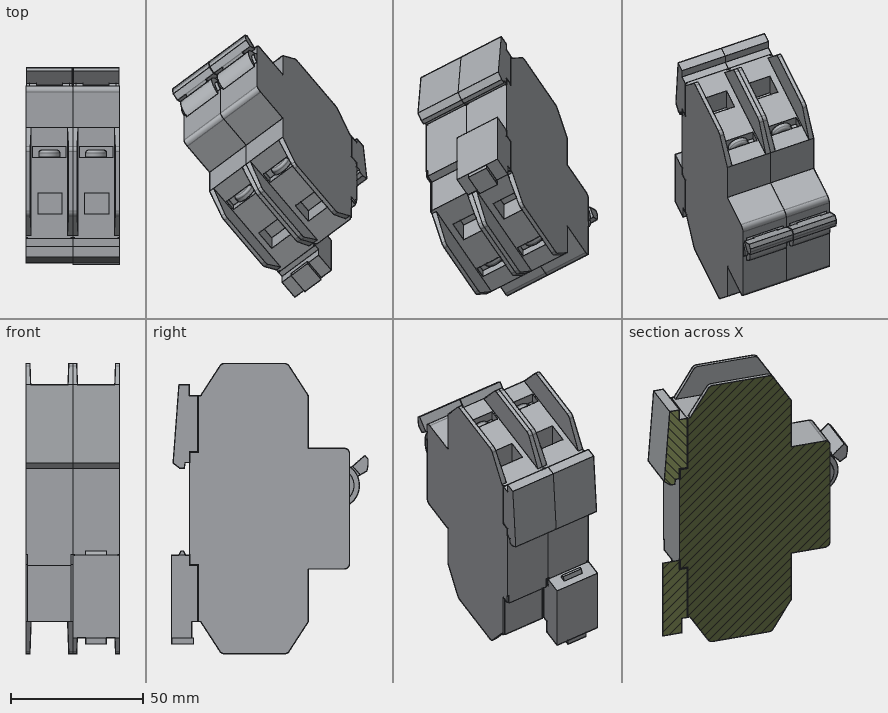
import cadquery as cq


pole_width = 17.7
total_height = 110.0
shoulder_z = 42.8
shoulder_y = 45.1
front_z = 22.9
front_y = 60.7
front_fillet = 2.1

seat_y = 3.1
seat_step_z = 21.6
seat_end_z = 17.4
rim_gap = 0.3
rim_width = 0.7

barrier_base_y = (4.3, shoulder_y)
barrier_tip_y = (12.2, 37.2)
barrier_base_thickness = 2.0
barrier_tip_thickness = 1.5
barrier_fillet = 2.2

wire_hole_x = 4.5
wire_hole_width = 9.1
wire_hole_y = 12.3
wire_hole_length = 7.9
wire_hole_depth = 11.0
screw_pocket_width = 12.6
screw_pocket_y = 33.7
screw_pocket_length = 4.2
screw_pocket_depth = 4.4
screw_radius = 4.0
screw_length = 2.5
screw_wall_gap = 0.3
screw_fillet = 1.1

hub_y = 55.9
hub_z = 8.8
hub_radius = 8.6
hub_step_radius = 6.5
hub_step_width = 1.3
toggle_inset = 0.1
neck_inset = 4.0
bar_top = (66.4, 20.1)
bar_tip_points = [(67.8, 18.7), (67.8, 16.7), (67.3, 14.3)]
bar_root_low = (64.8, 12.8)
bar_root_high = (61.8, 16.1)
neck_foot_y = 59.4

clip_top_z = 47.0
clip_top_y = -4.0
clip_belly = (-6.2, 17.3)
clip_lip_z = 15.3
clip_lip_y = (-3.6, -1.9)
clip_hook_y = -1.5

foot_rear_y = -6.8
foot_top_z = -17.6
foot_bottom_z = -49.0
foot_leg_y = 1.0
tab_x = 4.8
tab_width = 7.9
tab_front_y = 1.6
tab_inset = 0.1
tab_bottom_z = -51.3
latch_height = 1.6
latch_base_y = (-4.0, -1.4)
latch_top_y = (-3.1, -2.2)

half_height = total_height / 2


def extrude_x(points, start_x, width):
    """Closed (Y, Z) outline extruded along +X from start_x."""
    return cq.Workplane("YZ", origin=(start_x, 0, 0)).polyline(points).close().extrude(width)


def block(x, y, z, width, length, height):
    """Box given by its lowest corner and its size along X, Y and Z."""
    return cq.Workplane("XY").box(width, length, height, centered=False).translate((x, y, z))


def both_ends(shape):
    """The shape together with its mirror image below mid height."""
    return shape.union(shape.mirror("XY"))


def shell_block():
    """Stepped pole block with rounded front edges and a rear seat at either end."""
    upper = [
        (seat_y, shoulder_z),
        (seat_y, seat_step_z),
        (0, seat_step_z),
    ]
    lower = [(y, -z) for y, z in reversed(upper)]
    front = [
        (shoulder_y, -shoulder_z),
        (shoulder_y, -front_z),
        (front_y, -front_z),
        (front_y, front_z),
        (shoulder_y, front_z),
        (shoulder_y, shoulder_z),
    ]
    body = extrude_x(upper + lower + front, 0, pole_width)
    return body.faces(">Y").edges("|X").fillet(front_fillet)


def seat_rims():
    """Shallow relief along both side edges of the rear seats."""
    outline = [
        (0, seat_end_z),
        (rim_gap, seat_end_z),
        (rim_gap, seat_step_z - rim_gap),
        (seat_y + rim_gap, seat_step_z - rim_gap),
        (seat_y + rim_gap, shoulder_z),
        (seat_y, shoulder_z),
        (seat_y, seat_step_z),
        (0, seat_step_z),
    ]
    near = extrude_x(outline, 0, rim_width)
    far = extrude_x(outline, pole_width - rim_width, rim_width)
    return both_ends(near.union(far))


def barriers():
    """Side walls beyond both shoulders, thinner towards their tips."""
    outline = [
        (barrier_base_y[0], shoulder_z),
        (barrier_base_y[1], shoulder_z),
        (barrier_tip_y[1], half_height),
        (barrier_tip_y[0], half_height),
    ]
    plate = extrude_x(outline, 0, barrier_base_thickness)
    plate = plate.faces(">Z").edges("|X").fillet(barrier_fillet)
    draft = (
        cq.Workplane("XZ")
        .moveTo(0, shoulder_z)
        .lineTo(barrier_base_thickness, shoulder_z)
        .lineTo(barrier_tip_thickness, half_height)
        .lineTo(0, half_height)
        .close()
        .extrude(-front_y)
    )
    near = plate.intersect(draft)
    far = near.mirror("YZ").translate((pole_width, 0, 0))
    return both_ends(near.union(far))


def wire_holes():
    """Square blind holes into both shoulders."""
    hole = block(
        wire_hole_x, wire_hole_y, shoulder_z - wire_hole_depth,
        wire_hole_width, wire_hole_length, wire_hole_depth,
    )
    return both_ends(hole)


def screw_pockets():
    """Pockets that each leave a rounded screw head half sunk in the floor."""
    floor_z = shoulder_z - screw_pocket_depth
    pocket = block(
        (pole_width - screw_pocket_width) / 2, screw_pocket_y, floor_z,
        screw_pocket_width, screw_pocket_length, screw_pocket_depth,
    )
    head = (
        cq.Workplane("XZ", origin=(pole_width / 2, screw_pocket_y + screw_wall_gap, floor_z))
        .circle(screw_radius)
        .extrude(-screw_length)
        .faces(">Y")
        .edges()
        .fillet(screw_fillet)
    )
    return both_ends(pocket.cut(head))


def hub_disc(radius, start_x, width):
    """Toggle disc, kept only in front of the housing's front face."""
    disc = cq.Workplane("YZ", origin=(start_x, hub_y, hub_z)).circle(radius).extrude(width)
    front = block(0, front_y, hub_z - radius, pole_width, radius, 2 * radius)
    return disc.intersect(front)


def toggle():
    """Stepped hub on the front face with a narrow neck and a full-width handle bar."""
    hub = hub_disc(hub_radius, hub_step_width, pole_width - 2 * hub_step_width)
    hub = hub.union(hub_disc(hub_step_radius, toggle_inset, pole_width - 2 * toggle_inset))
    bar_outline = [bar_top] + bar_tip_points + [bar_root_low, bar_root_high]
    bar = extrude_x(bar_outline, toggle_inset, pole_width - 2 * toggle_inset)
    upper_slope = (bar_top[1] - bar_root_high[1]) / (bar_top[0] - bar_root_high[0])
    neck_foot_z = bar_root_high[1] - upper_slope * (bar_root_high[0] - neck_foot_y)
    neck_outline = [bar_root_high, bar_root_low, (hub_y, hub_z), (neck_foot_y, neck_foot_z)]
    neck = extrude_x(neck_outline, neck_inset, pole_width - 2 * neck_inset)
    return hub.union(neck).union(bar)


def make_housing():
    """One pole with its barriers, terminals and toggle as a single solid."""
    body = shell_block().union(barriers())
    body = body.cut(seat_rims()).cut(wire_holes()).cut(screw_pockets())
    return body.union(toggle())


def make_clip():
    """Upper rail clip with a sloping rear face and a hooked lower lip."""
    outline = [
        (seat_y, seat_step_z),
        (seat_y, shoulder_z),
        (0, shoulder_z),
        (0, clip_top_z),
        (clip_top_y, clip_top_z),
        clip_belly,
        (clip_lip_y[0], clip_lip_z),
        (clip_lip_y[1], clip_lip_z),
        (clip_hook_y, seat_end_z),
        (0, seat_end_z),
        (0, seat_step_z),
    ]
    return extrude_x(outline, 0, pole_width)


def make_foot():
    """Lower rail foot with a latch nose on top and a pull tab below."""
    outline = [
        (0, foot_top_z),
        (0, -seat_step_z),
        (seat_y, -seat_step_z),
        (seat_y, -shoulder_z),
        (foot_leg_y, -shoulder_z),
        (foot_leg_y, foot_bottom_z),
        (foot_rear_y, foot_bottom_z),
        (foot_rear_y, foot_top_z),
    ]
    latch_outline = [
        (latch_base_y[0], foot_top_z),
        (latch_top_y[0], foot_top_z + latch_height),
        (latch_top_y[1], foot_top_z + latch_height),
        (latch_base_y[1], foot_top_z),
    ]
    latch = extrude_x(latch_outline, tab_x, tab_width)
    tab_rear_y = foot_rear_y + tab_inset
    tab = block(
        tab_x, tab_rear_y, tab_bottom_z,
        tab_width, tab_front_y - tab_rear_y, foot_bottom_z - tab_bottom_z,
    )
    return extrude_x(outline, 0, pole_width).union(latch).union(tab)


bodies = []
for pole_x in (-pole_width, 0):
    housing = make_housing().translate((pole_x, 0, 0))
    clip = make_clip().translate((pole_x, 0, 0))
    bodies += [housing.val(), clip.val()]

foot = make_foot()
bodies.append(foot.val())

result = cq.Compound.makeCompound(bodies)